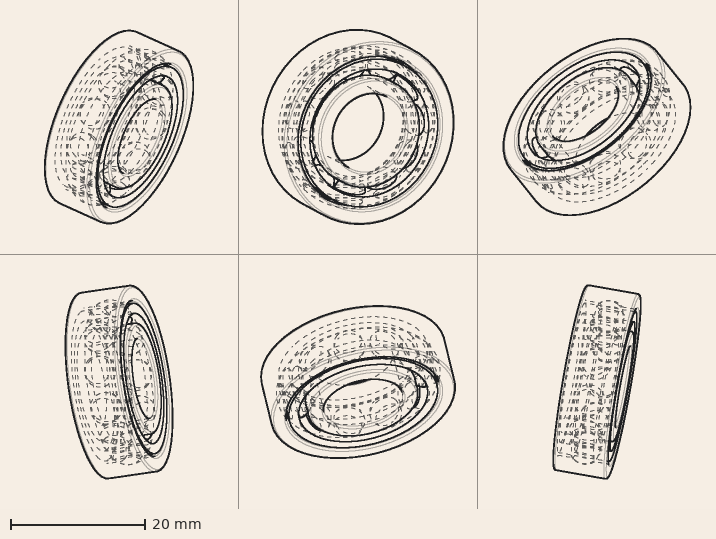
import cadquery as cq

outer_diameter = 28.0
bore_diameter = 11.98
width = 8.0
edge_radius = 0.3

ball_count = 11
ball_diameter = 4.75
pitch_radius = 10.0
inner_shoulder_radius = 8.35
outer_shoulder_radius = 11.7

cage_inner_radius = 9.8
cage_outer_radius = 11.3
cage_width = 7.73

ball_radius = ball_diameter / 2
ball_pitch_angle = 360.0 / ball_count
first_ball_angle = -90.0


def plain_ring(inner_radius, outer_radius, ring_width):
    """Square-edged ring around the X axis, centred on X = 0."""
    thickness = outer_radius - inner_radius
    middle_radius = (inner_radius + outer_radius) / 2
    return (
        cq.Workplane("XY")
        .center(0, -middle_radius)
        .rect(ring_width, thickness)
        .revolve(360, (0, middle_radius, 0), (1, middle_radius, 0))
    )


def raceway_torus():
    """Torus swept by the balls; cut from a ring, it leaves the raceway groove."""
    return (
        cq.Workplane("XY")
        .center(0, pitch_radius)
        .circle(ball_radius)
        .revolve(360, (0, -pitch_radius, 0), (1, -pitch_radius, 0))
    )


def race(inner_radius, outer_radius):
    """Ring with rounded face edges and a raceway groove."""
    ring = plain_ring(inner_radius, outer_radius, width)
    rounded = ring.faces("<X or >X").edges().fillet(edge_radius)
    return rounded.cut(raceway_torus())


def ball(angle):
    """Ball on the pitch circle at an angle about the X axis."""
    return (
        cq.Workplane("XY")
        .sphere(ball_radius)
        .translate((0, 0, pitch_radius))
        .rotate((0, 0, 0), (1, 0, 0), angle)
    )


def ball_cage():
    """Cage ring joined to its balls as one solid."""
    cage = plain_ring(cage_inner_radius, cage_outer_radius, cage_width)
    for index in range(ball_count):
        cage = cage.union(ball(first_ball_angle + index * ball_pitch_angle))
    return cage


outer_race = race(outer_shoulder_radius, outer_diameter / 2)
inner_race = race(bore_diameter / 2, inner_shoulder_radius)
cage_with_balls = ball_cage()

result = cq.Compound.makeCompound(
    [outer_race.solids().val(), inner_race.solids().val(), cage_with_balls.solids().val()]
)